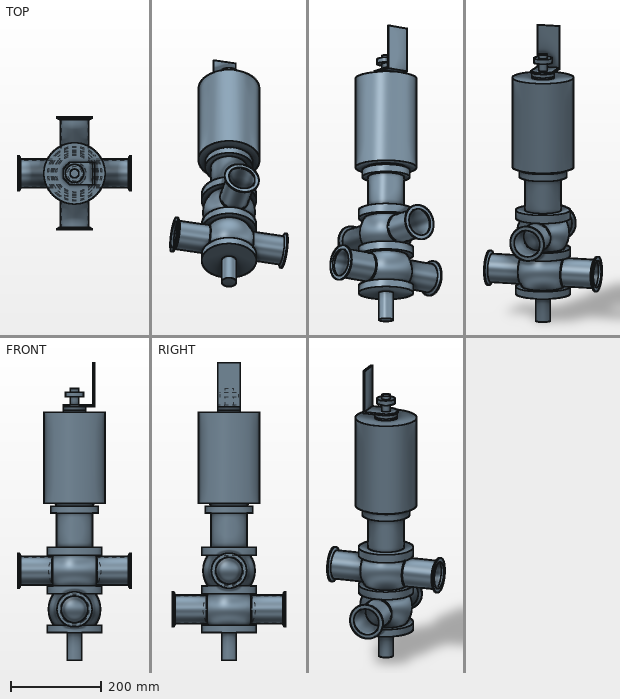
import cadquery as cq
import math

DRAIN_TOP = 61.0
LOWER_BALL_Z = 112.5
BOTTOM_FLANGE_TOP = 77.5
MIDDLE_FLANGE_BOTTOM = 146.5
MIDDLE_FLANGE_TOP = 164.5
UPPER_BALL_Z = 198.0
TOP_FLANGE_BOTTOM = 231.5
TOP_FLANGE_TOP = 250.0
COLLAR_BOTTOM = 325.0
COLLAR_TOP = 341.0
ACTUATOR_BOTTOM = 346.5
ACTUATOR_TOP = 548.5
BOSS_TOP = 552.5
BRACKET_BOTTOM = 560.5
KNOB_BOTTOM = 582.0
KNOB_TOP = 592.5
SPINDLE_TOP = 600.5
BRACKET_TOP = 658.0

DRAIN_DIAMETER = 32.0
BODY_FLANGE_DIAMETER = 121.0
BALL_DIAMETER = 116.0
SEAM_ANGLE = 45
COLUMN_DIAMETER = 80.0
COLLAR_DIAMETER = 105.0
NECK_TOP_DIAMETER = 85.5
ACTUATOR_DIAMETER = 135.5
BOSS_DIAMETER = 50.0
SPINDLE_DIAMETER = 20.0
KNOB_DIAMETER = 40.0

PORT_SPAN = 250.0
PIPE_START = 46.0
PIPE_DIAMETER = 64.0
BORE_DIAMETER = 59.0
FERRULE_DIAMETER = 77.5
FERRULE_RIM = 2.5
FERRULE_LENGTH = 6.5

BRACKET_WIDTH = 50.0
BRACKET_REACH = 45.0
BRACKET_THICKNESS = 4.0
BRACKET_CHAMFER = 14.5


def disc(diameter, bottom, top):
    """Vertical cylinder on the Z axis between two heights."""
    return cq.Workplane("XY", origin=(0, 0, bottom)).circle(diameter / 2).extrude(top - bottom)


def neck():
    """Cone that widens from the collar to the underside of the actuator."""
    return (
        cq.Workplane("XY", origin=(0, 0, COLLAR_TOP))
        .circle(COLUMN_DIAMETER / 2)
        .workplane(offset=ACTUATOR_BOTTOM - COLLAR_TOP)
        .circle(NECK_TOP_DIAMETER / 2)
        .loft()
    )


def ball(center_z, bottom, top):
    """Solid ball cut off flat by the flanges below and above it."""
    radius = BALL_DIAMETER / 2
    bottom_radius = math.sqrt(radius**2 - (center_z - bottom) ** 2)
    top_radius = math.sqrt(radius**2 - (top - center_z) ** 2)
    turned = (
        cq.Workplane("XZ")
        .moveTo(0, bottom)
        .lineTo(bottom_radius, bottom)
        .threePointArc((radius, center_z), (top_radius, top))
        .lineTo(0, top)
        .close()
        .revolve(360, (0, 0), (0, 1))
    )
    return turned.rotate((0, 0, 0), (0, 0, 1), SEAM_ANGLE)


def pipe_port(center_z, angle):
    """Pipe with a tapered clamp ferrule; its bore ends on the solid ball."""
    end = PORT_SPAN / 2
    bore_radius = BORE_DIAMETER / 2
    pipe_radius = PIPE_DIAMETER / 2
    ferrule_radius = FERRULE_DIAMETER / 2
    tube = (
        cq.Workplane("XZ")
        .moveTo(PIPE_START, bore_radius)
        .lineTo(end, bore_radius)
        .lineTo(end, ferrule_radius)
        .lineTo(end - FERRULE_RIM, ferrule_radius)
        .lineTo(end - FERRULE_LENGTH, pipe_radius)
        .lineTo(PIPE_START, pipe_radius)
        .close()
        .revolve(360, (0, 0), (1, 0))
    )
    return tube.rotate((0, 0, 0), (0, 0, 1), angle).translate((0, 0, center_z))


def make_valve():
    """Valve body, column and actuator in one piece."""
    valve = disc(DRAIN_DIAMETER, 0, DRAIN_TOP)
    valve = valve.union(disc(BODY_FLANGE_DIAMETER, DRAIN_TOP, BOTTOM_FLANGE_TOP))
    valve = valve.union(ball(LOWER_BALL_Z, BOTTOM_FLANGE_TOP, MIDDLE_FLANGE_BOTTOM))
    valve = valve.union(disc(BODY_FLANGE_DIAMETER, MIDDLE_FLANGE_BOTTOM, MIDDLE_FLANGE_TOP))
    valve = valve.union(ball(UPPER_BALL_Z, MIDDLE_FLANGE_TOP, TOP_FLANGE_BOTTOM))
    valve = valve.union(disc(BODY_FLANGE_DIAMETER, TOP_FLANGE_BOTTOM, TOP_FLANGE_TOP))
    valve = valve.union(disc(COLUMN_DIAMETER, TOP_FLANGE_TOP, COLLAR_BOTTOM))
    valve = valve.union(disc(COLLAR_DIAMETER, COLLAR_BOTTOM, COLLAR_TOP))
    valve = valve.union(neck())
    valve = valve.union(disc(ACTUATOR_DIAMETER, ACTUATOR_BOTTOM, ACTUATOR_TOP))
    valve = valve.union(disc(BOSS_DIAMETER, ACTUATOR_TOP, BOSS_TOP))
    for center_z, angles in ((LOWER_BALL_Z, (90, 270)), (UPPER_BALL_Z, (0, 180))):
        for angle in angles:
            valve = valve.union(pipe_port(center_z, angle))
    return valve


def angle_bracket():
    """L-shaped plate with two chamfered corners on its free end."""
    length = BOSS_DIAMETER / 2 + BRACKET_REACH
    base = (
        cq.Workplane("XY", origin=(-BOSS_DIAMETER / 2, 0, BRACKET_BOTTOM))
        .box(length, BRACKET_WIDTH, BRACKET_THICKNESS, centered=(False, True, False))
        .edges("|Z and <X")
        .chamfer(BRACKET_CHAMFER)
    )
    upright = cq.Workplane("XY", origin=(BRACKET_REACH - BRACKET_THICKNESS, 0, BRACKET_BOTTOM)).box(
        BRACKET_THICKNESS, BRACKET_WIDTH, BRACKET_TOP - BRACKET_BOTTOM, centered=(False, True, False)
    )
    return base.union(upright)


def make_indicator():
    """Spindle with its foot disc, knob and angle bracket."""
    indicator = disc(BOSS_DIAMETER, BOSS_TOP, BRACKET_BOTTOM)
    indicator = indicator.union(angle_bracket())
    indicator = indicator.union(disc(SPINDLE_DIAMETER, BRACKET_BOTTOM, SPINDLE_TOP))
    return indicator.union(disc(KNOB_DIAMETER, KNOB_BOTTOM, KNOB_TOP))


valve = make_valve()
indicator = make_indicator()

result = cq.Compound.makeCompound([valve.val(), indicator.val()])